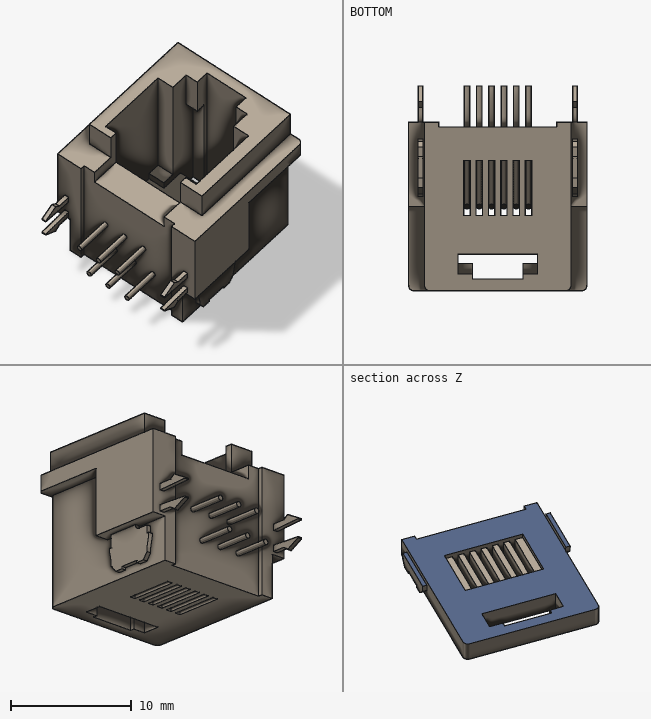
import cadquery as cq
import math


body_width = 12.14
body_depth = 14.0
body_height = 14.0
back_corner_radius = 0.46
collar_front_y = 2.52
flange_width = 14.8
flange_top = 11.48
flange_bottom = 3.98
flange_step_y = 7.0
flange_step_z = 10.03
front_recess_depth = 0.4

cavity_width = 9.75
cavity_front_y = 3.2
cavity_back_y = 8.82
ledge_back_y = 10.0
ledge_z = 2.72
floor_z = 2.04
floor_back_y = 10.98
neck_width = 6.56
neck_back_y = 11.73
latch_width = 4.18
latch_back_y = 13.0
catch_thickness = 3.77
catch_relief_y = 12.61
notch_width = 7.51
notch_z = 10.23

contact_count = 6
contact_pitch = 1.02
wire_diameter = 0.48
overall_depth = 17.0
tail_length = overall_depth - body_depth
tail_seat_y = 1.7
lower_row_z = 3.18
upper_row_z = 5.7
comb_width = 6.97
comb_depth = 0.68
comb_back_y = 7.75
slot_width = 0.51
wire_tilt = 55.0
wire_root_y = 2.55
wire_root_z = 9.35
wire_tip_y = 7.2

clip_x = 6.41
clip_thickness = 0.4
clip_seat = 0.34
plate_front_y = 1.62
plate_back_y = 5.98
plate_barb = 0.2
barb_top_z = 2.8
barb_low_z = 2.52
barb_root_z = 1.53
plate_chamfer_z = 1.12
plate_bottom_z = 0.51
foot_front_y = 2.05
foot_back_y = 5.42
foot_notch_front_y = 2.87
foot_notch_back_y = 4.65
foot_notch_depth = 0.2
arm_bottom_z = 3.52
arm_front_y = 3.01
arm_corner_radius = 0.4

prong_mid_z = 5.5
prong_root_inner = 0.66
prong_root_outer = 1.24
prong_tip_inner = 0.8
prong_tip_outer = 0.9
prong_barb_outer = 1.58
prong_barb_y = -1.7
prong_neck_y = -1.22


def box(x_size, y_min, y_max, z_min, z_max, x_mid=0.0):
    """Box centred on x_mid in X, with given Y and Z limits."""
    size = (x_size, y_max - y_min, z_max - z_min)
    return cq.Workplane("XY").box(*size, centered=(True, False, False)).translate((x_mid, y_min, z_min))


def housing():
    """Body with a stepped side flange, a narrower collar on top and a shallow recess in the pin face."""
    lower = box(body_width, 0, body_depth, 0, flange_top)
    lower = lower.edges("|Z and >Y").fillet(back_corner_radius)
    flange = box(flange_width, 0, body_depth, flange_bottom, flange_top)
    flange = flange.edges("|Z and >Y").fillet(back_corner_radius)
    flange = flange.cut(box(flange_width, flange_step_y, body_depth, flange_bottom, flange_step_z))
    collar = box(body_width, collar_front_y, body_depth, flange_top, body_height)
    recess = box(cavity_width, 0, front_recess_depth, 0, flange_top)
    return lower.union(flange).union(collar).cut(recess)


def plug_cavity():
    """Stepped opening for the plug, its latch, and the comb recess in the floor."""
    catch_z = body_height - catch_thickness
    pockets = [
        box(cavity_width, cavity_front_y, cavity_back_y, floor_z, body_height),
        box(cavity_width, cavity_back_y, ledge_back_y, ledge_z, body_height),
        box(neck_width, cavity_back_y, neck_back_y, floor_z, body_height),
        box(neck_width, floor_back_y, catch_relief_y, 0, catch_z),
        box(latch_width, floor_back_y, latch_back_y, 0, body_height),
        box(notch_width, 0, cavity_front_y, notch_z, body_height),
        box(comb_width, cavity_front_y, comb_back_y, floor_z - comb_depth, floor_z),
    ]
    cavity = pockets[0]
    for pocket in pockets[1:]:
        cavity = cavity.union(pocket)
    return cavity


def rod(start, direction, length):
    """Round wire from a start point along a direction."""
    return cq.Workplane(cq.Solid.makeCylinder(wire_diameter / 2, length, start, direction))


def contact_wire(x):
    """Spring wire sloping down from the front wall into the cavity."""
    tilt = math.radians(wire_tilt)
    axis_run = wire_tip_y - wire_diameter / 2 * math.sin(tilt) - wire_root_y
    direction = cq.Vector(0, math.cos(tilt), -math.sin(tilt))
    return rod(cq.Vector(x, wire_root_y, wire_root_z), direction, axis_run / math.cos(tilt))


def contact_tail(x, z):
    """Straight solder tail leaving the front face."""
    return rod(cq.Vector(x, -tail_length, z), cq.Vector(0, 1, 0), tail_length + tail_seat_y)


def clip_plate():
    """Plate hanging below the flange beside the lower body, with a barb on its front and back edges."""
    top_z = flange_bottom + clip_seat
    foot_notch_z = plate_bottom_z + foot_notch_depth
    return (
        cq.Workplane("YZ")
        .moveTo(plate_back_y, top_z)
        .lineTo(plate_back_y, barb_top_z)
        .lineTo(plate_back_y + plate_barb, barb_top_z)
        .lineTo(plate_back_y + plate_barb, barb_low_z)
        .lineTo(plate_back_y, barb_root_z)
        .lineTo(plate_back_y, plate_chamfer_z)
        .lineTo(foot_back_y, plate_bottom_z)
        .lineTo(foot_notch_back_y, plate_bottom_z)
        .lineTo(foot_notch_back_y, foot_notch_z)
        .lineTo(foot_notch_front_y, foot_notch_z)
        .lineTo(foot_notch_front_y, plate_bottom_z)
        .lineTo(foot_front_y, plate_bottom_z)
        .lineTo(plate_front_y, plate_chamfer_z)
        .lineTo(plate_front_y, barb_root_z)
        .lineTo(plate_front_y - plate_barb, barb_low_z)
        .lineTo(plate_front_y - plate_barb, barb_top_z)
        .lineTo(plate_front_y, barb_top_z)
        .lineTo(plate_front_y, arm_bottom_z)
        .lineTo(arm_front_y - arm_corner_radius, arm_bottom_z)
        .radiusArc((arm_front_y, arm_bottom_z + arm_corner_radius), -arm_corner_radius)
        .lineTo(arm_front_y, top_z)
        .close()
        .extrude(clip_thickness / 2, both=True)
    )


def clip_prong(side):
    """Barbed prong in front of the flange; side is +1 for the upper one and -1 for the lower one."""
    outline = [
        (clip_seat, prong_root_inner),
        (0, prong_root_inner),
        (-tail_length, prong_tip_inner),
        (-tail_length, prong_tip_outer),
        (prong_barb_y, prong_barb_outer),
        (prong_neck_y, prong_root_outer),
        (clip_seat, prong_root_outer),
    ]
    points = [(y, prong_mid_z + side * offset) for y, offset in outline]
    return cq.Workplane("YZ").polyline(points).close().extrude(clip_thickness / 2, both=True)


result = housing().cut(plug_cavity())

contact_x = [(i - (contact_count - 1) / 2) * contact_pitch for i in range(contact_count)]
for x in contact_x:
    result = result.cut(box(slot_width, cavity_front_y, comb_back_y, 0, floor_z, x))
for i, x in enumerate(contact_x):
    row_z = upper_row_z if i % 2 == 0 else lower_row_z
    result = result.union(contact_wire(x)).union(contact_tail(x, row_z))

for x in (-clip_x, clip_x):
    for piece in (clip_plate(), clip_prong(1), clip_prong(-1)):
        result = result.union(piece.translate((x, 0, 0)))